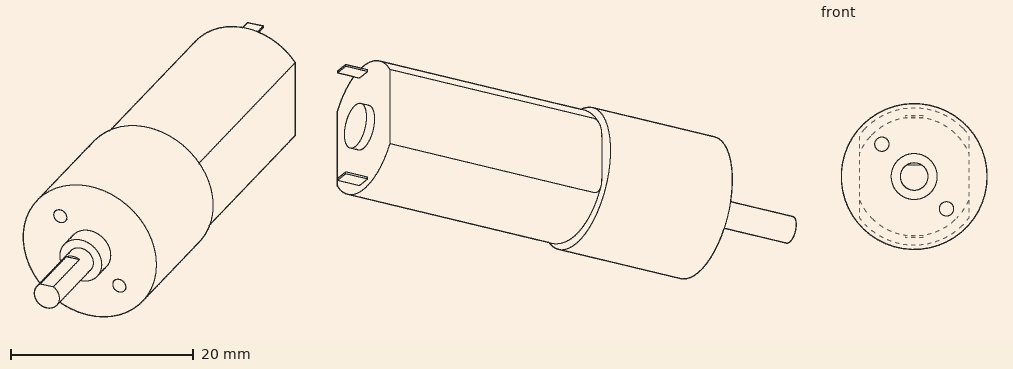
import cadquery as cq
import math

OVERALL_LENGTH = 55.85

GEARBOX_DIAMETER = 16.0
GEARBOX_LENGTH = 15.2
MOUNT_HOLE_DIAMETER = 1.55
MOUNT_HOLE_DEPTH = 3.0
MOUNT_CIRCLE_DIAMETER = 10.0
MOUNT_HOLE_ANGLES = (135, 315)

MOTOR_DIAMETER = 15.0
MOTOR_LENGTH = 26.4
MOTOR_WIDTH = 12.0
MOTOR_FILLET = 1.0

BOSS_DIAMETER = 5.0
FRONT_BOSS_LENGTH = 2.4
REAR_BOSS_LENGTH = 1.0
SHAFT_DIAMETER = 3.0
SHAFT_REACH = 11.5
SHAFT_FLAT_LENGTH = 7.0
SHAFT_FLAT_DEPTH = 0.2

TAB_WIDTH = 1.9
TAB_THICKNESS = 0.2
TAB_OFFSET = 6.55

motor_front = GEARBOX_LENGTH
motor_rear = motor_front + MOTOR_LENGTH
tab_length = OVERALL_LENGTH - SHAFT_REACH - motor_rear


def cylinder(diameter, start, length):
    """Cylinder on the motor axis from y = start to y = start + length."""
    plane = cq.Plane(origin=(0, start, 0), xDir=(1, 0, 0), normal=(0, 1, 0))
    return cq.Workplane(plane).circle(diameter / 2).extrude(length)


def block(width, start, length, bottom, height):
    """Box centred on X, from y = start and z = bottom."""
    box = cq.Workplane("XY").box(width, length, height, centered=(True, False, False))
    return box.translate((0, start, bottom))


def make_gearbox():
    body = cylinder(GEARBOX_DIAMETER, 0, GEARBOX_LENGTH)
    hole = cylinder(MOUNT_HOLE_DIAMETER, 0, MOUNT_HOLE_DEPTH)
    for degrees in MOUNT_HOLE_ANGLES:
        angle = math.radians(degrees)
        x = MOUNT_CIRCLE_DIAMETER / 2 * math.cos(angle)
        z = MOUNT_CIRCLE_DIAMETER / 2 * math.sin(angle)
        body = body.cut(hole.translate((x, 0, z)))
    return body


def make_motor():
    """Round can with a rounded front rim, cut to two flat sides."""
    can = cylinder(MOTOR_DIAMETER, motor_front, MOTOR_LENGTH)
    can = can.faces("<Y").edges().fillet(MOTOR_FILLET)
    sides = block(MOTOR_WIDTH, motor_front, MOTOR_LENGTH, -MOTOR_DIAMETER / 2, MOTOR_DIAMETER)
    return can.intersect(sides)


def make_shaft():
    """Output shaft with a shallow flat on top of its free end."""
    shaft = cylinder(SHAFT_DIAMETER, -SHAFT_REACH, SHAFT_REACH)
    flat_bottom = SHAFT_DIAMETER / 2 - SHAFT_FLAT_DEPTH
    flat = block(SHAFT_DIAMETER, -SHAFT_REACH, SHAFT_FLAT_LENGTH, flat_bottom, SHAFT_DIAMETER)
    return shaft.cut(flat)


def make_tab(z):
    return block(TAB_WIDTH, motor_rear, tab_length, z - TAB_THICKNESS / 2, TAB_THICKNESS)


result = (
    make_gearbox()
    .union(make_motor())
    .union(cylinder(BOSS_DIAMETER, -FRONT_BOSS_LENGTH, FRONT_BOSS_LENGTH))
    .union(cylinder(BOSS_DIAMETER, motor_rear, REAR_BOSS_LENGTH))
    .union(make_shaft())
    .union(make_tab(TAB_OFFSET))
    .union(make_tab(-TAB_OFFSET))
)